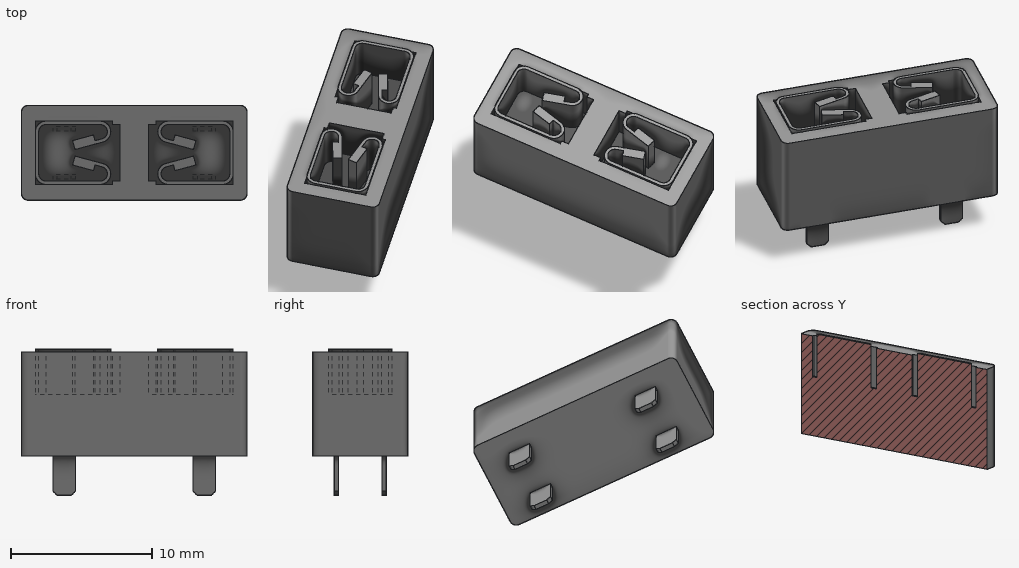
import cadquery as cq
import math

length = 16.0
width = 6.74
body_height = 7.4
corner_radius = 0.5

pocket_outer_x = 7.0
pocket_step_x = 1.54
pocket_inner_x = 1.0
pocket_half_width = 2.24
pocket_neck_half_width = 2.0
pocket_depth = 3.0

clip_end_x = 1.66
strip = 0.24
bend_radius = 0.75
arm_angle = math.radians(15)
arm_length = 2.05
pad_length = 1.54
pad_thickness = 0.65
clip_rise = 0.2

pin_x = 4.96
pin_y = 1.7
pin_width = 1.6
pin_thickness = 0.32
pin_length = 2.78
pin_chamfer = 0.3

floor_z = body_height - pocket_depth
clip_height = pocket_depth + clip_rise


def extruded_rectangle(x_min, x_max, half_width, z_min, height):
    """Block between two X values, centred on Y = 0."""
    return (
        cq.Workplane("XY", origin=((x_min + x_max) / 2, 0, z_min))
        .rect(x_max - x_min, 2 * half_width)
        .extrude(height)
    )


def make_housing():
    return (
        cq.Workplane("XY")
        .rect(length, width)
        .extrude(body_height)
        .edges("|Z")
        .fillet(corner_radius)
    )


def make_pocket():
    """Pocket on the -X side: a wide area with a narrower neck towards the middle."""
    wide = extruded_rectangle(-pocket_outer_x, -pocket_step_x, pocket_half_width, floor_z, pocket_depth)
    neck = extruded_rectangle(-pocket_outer_x, -pocket_inner_x, pocket_neck_half_width, floor_z, pocket_depth)
    return wide.union(neck)


def make_half_clip():
    """+Y half of the -X clip: back wall, side wall, inward curl and sprung arm with its contact pad."""
    back_x = -pocket_outer_x
    side_y = pocket_half_width
    inner_radius = bend_radius - strip
    bend_y = side_y - bend_radius
    corner_x = back_x + bend_radius
    curl_x = -clip_end_x - bend_radius
    diagonal = math.sqrt(0.5)

    along = (-math.cos(arm_angle), -math.sin(arm_angle))
    inward = (-math.sin(arm_angle), math.cos(arm_angle))

    def on_corner(radius):
        return (corner_x - radius * diagonal, bend_y + radius * diagonal)

    def on_arm(distance, depth):
        """Point at a distance from the curl along the arm, at a depth below its outer face."""
        offset = depth - bend_radius
        return (
            curl_x + distance * along[0] + offset * inward[0],
            bend_y + distance * along[1] + offset * inward[1],
        )

    pad_start = arm_length - pad_length
    return (
        cq.Workplane("XY", origin=(0, 0, floor_z))
        .moveTo(back_x, 0)
        .lineTo(back_x, bend_y)
        .threePointArc(on_corner(bend_radius), (corner_x, side_y))
        .lineTo(curl_x, side_y)
        .threePointArc((curl_x + bend_radius, bend_y), on_arm(0, 0))
        .lineTo(*on_arm(arm_length, 0))
        .lineTo(*on_arm(arm_length, pad_thickness))
        .lineTo(*on_arm(pad_start, pad_thickness))
        .lineTo(*on_arm(pad_start, strip))
        .lineTo(*on_arm(0, strip))
        .threePointArc((curl_x + inner_radius, bend_y), (curl_x, side_y - strip))
        .lineTo(corner_x, side_y - strip)
        .threePointArc(on_corner(inner_radius), (back_x + strip, bend_y))
        .lineTo(back_x + strip, 0)
        .close()
        .extrude(clip_height)
    )


def make_clip():
    half = make_half_clip()
    return half.union(half.mirror("XZ"))


def make_pins():
    """Four flat pins below the housing, with chamfered tips."""
    pin_centers = [(x, y) for x in (-pin_x, pin_x) for y in (-pin_y, pin_y)]
    return (
        cq.Workplane("XY")
        .pushPoints(pin_centers)
        .rect(pin_width, pin_thickness)
        .extrude(-pin_length)
        .faces("<Z")
        .edges("|Y")
        .chamfer(pin_chamfer)
    )


pocket = make_pocket()
clip = make_clip()
result = (
    make_housing()
    .cut(pocket)
    .cut(pocket.mirror("YZ"))
    .union(clip)
    .union(clip.mirror("YZ"))
    .union(make_pins())
)